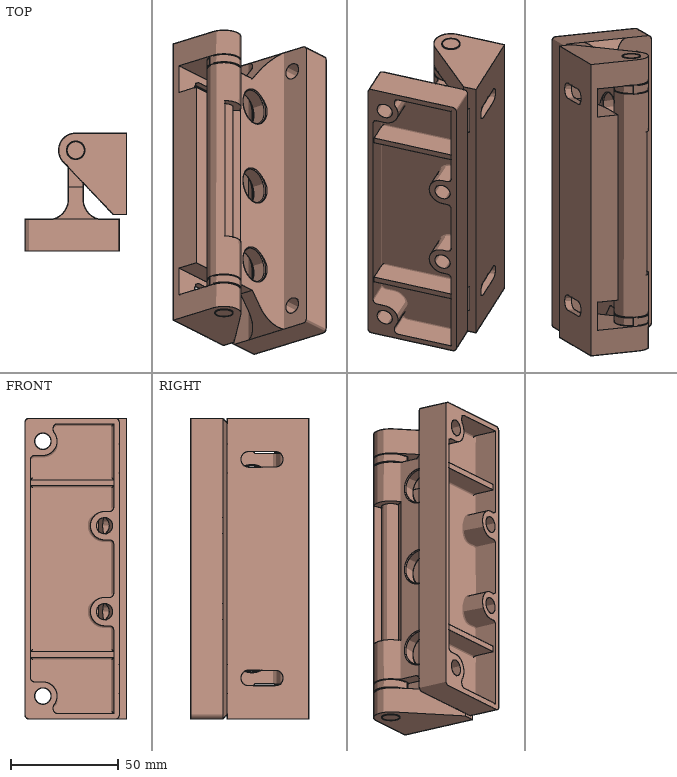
import cadquery as cq
import math

height = 140.0
half_height = height / 2
total_width = 47.4
total_depth = 55.0

knuckle_radius = 8.0
pin_radius = 4.3
axis_x = 23.7
axis_y = total_depth - knuckle_radius
barrel_half_height = 53.6
ear_bottom = 58.0
pin_chamfer = 0.3
washer_chamfer = 0.4
washer_tail_x = 26.0

plate_width = 44.0
plate_depth = 15.0
plate_corner_radius = 2.0
wall = 2.6
pocket_depth = 12.0
floor_fillet = 1.1
screw_radius = 3.75
boss_radius = 6.6
blend_radius = 2.0
corner_boss_x = 8.4
corner_boss_z = 59.3
corner_boss_side_x = 13.2
side_boss_x = 37.1
side_boss_z = 20.0
rib_thickness = 2.7
rib_z = 40.0
rib_recess = 1.4
web_thickness = 7.0
web_shoulder_y = 30.0
web_fillet_rise = 9.1
web_fillet_reach = 7.0
barrel_blend_radius = 2.2
window_radius = 8.0
window_chamfer = 0.5
window_y = 28.5
window_pitch = 40.0
notch_half_height = 34.3
notch_top_lip = 6.0

leaf_bottom_y = 17.0
leaf_bottom_x = 41.2
leaf_plate_x = 44.0
block_top_x = 33.8
block_taper_top_y = 37.5
block_taper_angle = 13.6
block_half_height = 44.5
slot_radius = 3.6
slot_low_y = 27.0
slot_high_y = 39.4
end_slot_z = 50.9
groove_radius = 4.2
groove_y = 23.2

overcut = 1.0


def prism(outline, z_low, z_high):
    """Extrude a closed XY outline between two heights."""
    return outline.extrude(z_high - z_low).translate((0, 0, z_low))


def box(x_low, x_high, y_low, y_high, z_low, z_high):
    """Box given by its limits."""
    size = (x_high - x_low, y_high - y_low, z_high - z_low)
    return cq.Workplane("XY").box(*size, centered=False).translate((x_low, y_low, z_low))


def rod(radius, z_low, z_high):
    """Cylinder on the hinge axis."""
    return prism(cq.Workplane("XY").center(axis_x, axis_y).circle(radius), z_low, z_high)


def y_cylinder(x, z, radius, depth):
    """Cylinder along Y starting at the open face of the fixed leaf."""
    return cq.Workplane("XZ").center(x, z).circle(radius).extrude(-depth)


def corner_boss(side):
    """Boss joined to the left wall and to the end wall; side is +1 up or -1 down."""
    z_end = side * half_height
    z_boss = side * corner_boss_z
    boss = y_cylinder(corner_boss_x, z_boss, boss_radius, pocket_depth)
    z_near = z_boss - side * boss_radius
    left_block = box(0, corner_boss_x, 0, pocket_depth, min(z_near, z_end), max(z_near, z_end))
    end_block = box(0, corner_boss_side_x, 0, pocket_depth, min(z_boss, z_end), max(z_boss, z_end))
    return boss.union(left_block).union(end_block)


def side_boss(z):
    """Boss joined to the right wall."""
    boss = y_cylinder(side_boss_x, z, boss_radius, pocket_depth)
    bridge = box(side_boss_x, plate_width, 0, pocket_depth, z - boss_radius, z + boss_radius)
    return boss.union(bridge)


def blend_pocket_edge(pocket, x, z):
    """Round the pocket edge that runs along Y through the point (x, z)."""
    edge = pocket.edges(cq.selectors.NearestToPointSelector((x, pocket_depth / 2, z)))
    return edge.fillet(blend_radius)


def pocket_shape():
    """Hollow of the plate: bosses and ribs left standing, floor edges rounded."""
    pocket = box(wall, plate_width - wall, 0, pocket_depth, wall - half_height, half_height - wall)
    for side in (-1, 1):
        pocket = pocket.cut(corner_boss(side)).cut(side_boss(side * side_boss_z))

    neck_rise = math.sqrt(boss_radius**2 - (corner_boss_side_x - corner_boss_x) ** 2)
    for side in (-1, 1):
        pocket = blend_pocket_edge(pocket, wall, side * (corner_boss_z - boss_radius))
        pocket = blend_pocket_edge(pocket, corner_boss_side_x, side * (half_height - wall))
        pocket = blend_pocket_edge(pocket, corner_boss_side_x, side * (corner_boss_z + neck_rise))
        for edge_side in (-1, 1):
            z_edge = side * side_boss_z + edge_side * boss_radius
            pocket = blend_pocket_edge(pocket, plate_width - wall, z_edge)

    for side in (-1, 1):
        z_low = side * rib_z - rib_thickness / 2
        rib = box(0, plate_width, rib_recess, pocket_depth, z_low, z_low + rib_thickness)
        pocket = pocket.cut(rib)
    return pocket.faces(">Y").edges().fillet(floor_fillet)


def plate():
    body = box(0, plate_width, 0, plate_depth, -half_height, half_height)
    body = body.edges("|Y").fillet(plate_corner_radius)
    body = body.cut(pocket_shape())
    screw_points = [(corner_boss_x, corner_boss_z), (side_boss_x, side_boss_z)]
    for x, z in screw_points:
        for side in (-1, 1):
            body = body.cut(y_cylinder(x, side * z, screw_radius, plate_depth))
    return body


def web_and_barrel():
    """Web with a flared foot and a barrel, sloped off towards both plate ends."""
    half_web = web_thickness / 2
    foot_y = plate_depth + web_fillet_rise
    foot_radius = (web_fillet_rise**2 + web_fillet_reach**2) / (2 * web_fillet_reach)
    foot_angle = math.asin(web_fillet_rise / foot_radius) / 2
    bend_x = half_web + foot_radius * (1 - math.cos(foot_angle))
    bend_y = foot_y - foot_radius * math.sin(foot_angle)
    foot_x = half_web + web_fillet_reach

    blend_x = half_web + barrel_blend_radius
    centre_distance = knuckle_radius + barrel_blend_radius
    blend_y = axis_y - math.sqrt(centre_distance**2 - blend_x**2)
    touch = knuckle_radius / centre_distance
    touch_x = blend_x * touch
    touch_y = axis_y + (blend_y - axis_y) * touch

    outline = (
        cq.Workplane("XY")
        .moveTo(axis_x - foot_x, plate_depth)
        .threePointArc((axis_x - bend_x, bend_y), (axis_x - half_web, foot_y))
        .lineTo(axis_x - half_web, blend_y)
        .tangentArcPoint((axis_x - touch_x, touch_y), relative=False)
        .threePointArc((axis_x, axis_y + knuckle_radius), (axis_x + touch_x, touch_y))
        .tangentArcPoint((axis_x + half_web, blend_y), relative=False)
        .lineTo(axis_x + half_web, foot_y)
        .threePointArc((axis_x + bend_x, bend_y), (axis_x + foot_x, plate_depth))
        .close()
    )
    body = prism(outline, -half_height, half_height)
    side_outline = (
        cq.Workplane("YZ")
        .moveTo(plate_depth, -half_height)
        .lineTo(web_shoulder_y, -barrel_half_height)
        .lineTo(total_depth, -barrel_half_height)
        .lineTo(total_depth, barrel_half_height)
        .lineTo(web_shoulder_y, barrel_half_height)
        .lineTo(plate_depth, half_height)
        .close()
        .extrude(total_width)
    )
    return body.intersect(side_outline)


def window(z):
    """Round window through the web, chamfered on each side and kept clear of the flared foot."""
    half_web = web_thickness / 2
    hole = cq.Workplane("YZ").center(window_y, z).circle(window_radius).extrude(total_width)
    mouth_radius = window_radius + window_chamfer
    for side in (-1, 1):
        mouth = (
            cq.Workplane("YZ", origin=(axis_x + side * half_web, window_y, z))
            .circle(mouth_radius)
            .workplane(offset=-side * window_chamfer)
            .circle(window_radius)
            .loft()
        )
        clearance = (
            cq.Workplane("YZ", origin=(axis_x + side * half_web, window_y, z))
            .circle(mouth_radius)
            .extrude(side * (web_fillet_reach + overcut))
        )
        hole = hole.union(mouth).union(clearance)
    return hole


def barrel_notch():
    """Flared opening in the barrel that shows the pin, its walls closing on the pin."""
    top_lip_x = axis_x - math.sqrt(knuckle_radius**2 - notch_top_lip**2)
    bottom_lip_x = axis_x - web_thickness / 2
    outline = (
        cq.Workplane("XY")
        .moveTo(axis_x, axis_y + pin_radius)
        .lineTo(top_lip_x, axis_y + notch_top_lip)
        .lineTo(axis_x - knuckle_radius - overcut, axis_y + notch_top_lip)
        .lineTo(axis_x - knuckle_radius - overcut, axis_y - knuckle_radius)
        .lineTo(bottom_lip_x, axis_y - knuckle_radius)
        .lineTo(axis_x, axis_y - pin_radius)
        .close()
    )
    return prism(outline, -notch_half_height, notch_half_height)


def make_fixed_leaf():
    body = plate().union(web_and_barrel())
    for row in (-1, 0, 1):
        body = body.cut(window(row * window_pitch))
    return body.cut(barrel_notch()).cut(rod(pin_radius, -half_height, half_height))


def leaf_outline():
    """Ear outline: round at the hinge axis, sloped to the foot of the mounting plate."""
    to_x = leaf_bottom_x - axis_x
    to_y = leaf_bottom_y - axis_y
    turn = math.acos(knuckle_radius / math.hypot(to_x, to_y))
    tangent_angle = math.atan2(to_y, to_x) - turn
    middle_angle = (tangent_angle - 1.5 * math.pi) / 2

    def on_knuckle(angle):
        return (axis_x + knuckle_radius * math.cos(angle), axis_y + knuckle_radius * math.sin(angle))

    return (
        cq.Workplane("XY")
        .moveTo(total_width, total_depth)
        .lineTo(axis_x, total_depth)
        .threePointArc(on_knuckle(middle_angle), on_knuckle(tangent_angle))
        .lineTo(leaf_bottom_x, leaf_bottom_y)
        .lineTo(total_width, leaf_bottom_y)
        .close()
    )


def mounting_block():
    """Thick middle of the mounting plate, with a tapered face and grooves in line with the side screws."""
    taper_height = block_taper_top_y - leaf_bottom_y
    block_bottom_x = block_top_x + taper_height * math.tan(math.radians(block_taper_angle))
    outline = (
        cq.Workplane("XY")
        .moveTo(total_width, total_depth)
        .lineTo(block_top_x, total_depth)
        .lineTo(block_top_x, block_taper_top_y)
        .lineTo(block_bottom_x, leaf_bottom_y)
        .lineTo(total_width, leaf_bottom_y)
        .close()
    )
    block = prism(outline, -block_half_height, block_half_height)
    block = block.intersect(prism(leaf_outline(), -block_half_height, block_half_height))
    for side in (-1, 1):
        groove = cq.Workplane("YZ").center(groove_y, side * side_boss_z).circle(groove_radius)
        block = block.cut(groove.extrude(leaf_plate_x))
    return block


def mounting_slot(z):
    length = slot_high_y - slot_low_y + 2 * slot_radius
    middle_y = (slot_low_y + slot_high_y) / 2
    return cq.Workplane("YZ").center(middle_y, z).slot2D(length, 2 * slot_radius).extrude(total_width)


def make_swinging_leaf():
    body = box(leaf_plate_x, total_width, leaf_bottom_y, total_depth, -half_height, half_height)
    body = body.union(mounting_block())
    for z_low in (-half_height, ear_bottom):
        body = body.union(prism(leaf_outline(), z_low, z_low + half_height - ear_bottom))
    for side in (-1, 1):
        body = body.cut(mounting_slot(side * end_slot_z))
    return body.cut(rod(pin_radius, -half_height, half_height))


def make_washer(z_low):
    """Spacer between an ear and the barrel: round, with a short square tail towards +X."""
    z_high = z_low + ear_bottom - barrel_half_height
    tail = box(
        axis_x, washer_tail_x, axis_y - knuckle_radius, axis_y + knuckle_radius, z_low, z_high
    )
    body = rod(knuckle_radius, z_low, z_high).faces("<Z or >Z").chamfer(washer_chamfer)
    return body.union(tail).cut(rod(pin_radius, z_low, z_high))


def make_pin():
    return rod(pin_radius, -half_height, half_height).faces("<Z or >Z").chamfer(pin_chamfer)


fixed_leaf = make_fixed_leaf()
swinging_leaf = make_swinging_leaf()
pin = make_pin()
washers = [make_washer(z_low) for z_low in (-ear_bottom, barrel_half_height)]

result = cq.Compound.makeCompound(
    [fixed_leaf.val(), swinging_leaf.val(), pin.val(), *[washer.val() for washer in washers]]
)